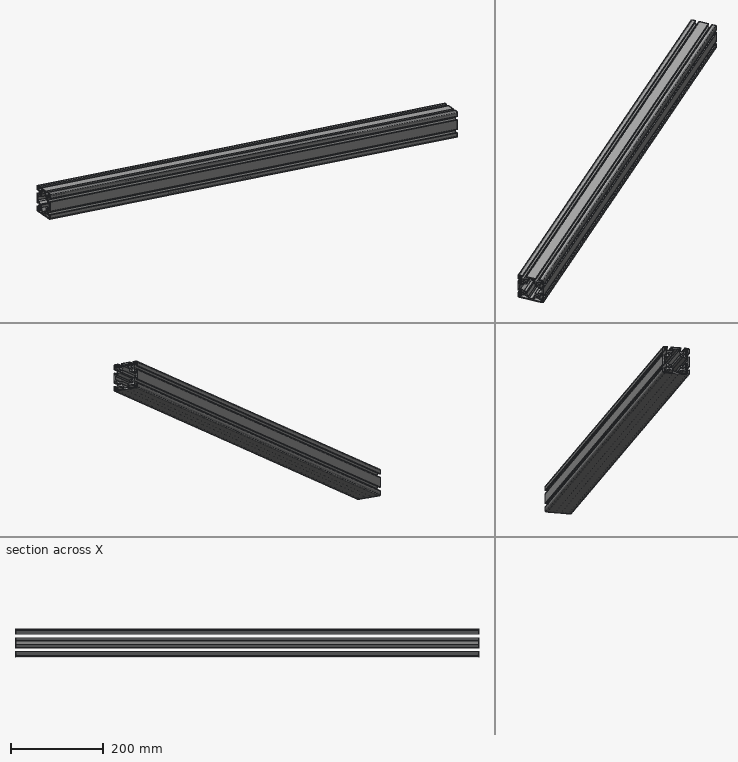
import cadquery as cq

length = 1000.0
side = 60.0
half = side / 2
corner_radius = 4.0

core_offset = side / 4
core_half_width = 5.2
core_inner = core_offset - core_half_width
bore_diameter = 5.0

mouth_width = 8.2
lip_thickness = 3.2
cover_thickness = 2.0
slot_width = 17.0
slot_depth = 9.2
flank_height = 3.0
floor_width = 4.0

panel_thickness = 4.0
tip_width = 7.0
shoulder_rise = 0.7

hollow_width = 3.0
hollow_inset = 4.5


def prism(outline):
    """Full-length prism from a closed XZ outline."""
    return cq.Workplane("XZ").polyline(outline).close().extrude(length / 2, both=True)


def mirrored_in_x(points):
    """The points mirrored in X, in reverse order so that the outline carries on."""
    return [(-x, z) for x, z in reversed(points)]


def mirrored_in_z(points):
    """The points mirrored in Z, in reverse order so that the outline carries on."""
    return [(x, -z) for x, z in reversed(points)]


def at_four_corners(offset):
    """Section plane with its points at (+-offset, +-offset)."""
    return cq.Workplane("XZ").rect(2 * offset, 2 * offset, forConstruction=True).vertices()


def slot_pair(upper_edge):
    """Both slots of the top side; `upper_edge` is the right edge of one slot above its flank."""
    right_edge = upper_edge + [
        (slot_width / 2, half - slot_depth + flank_height),
        (floor_width / 2, half - slot_depth),
    ]
    slot = prism(right_edge + mirrored_in_x(right_edge))
    return slot.translate((-core_offset, 0, 0)).union(slot.translate((core_offset, 0, 0)))


result = cq.Workplane("XY").box(side, length, side).edges("|Y").fillet(corner_radius)

open_edge = [
    (mouth_width / 2, half),
    (mouth_width / 2, half - lip_thickness),
    (slot_width / 2, half - lip_thickness),
]
covered_edge = [(slot_width / 2, half - cover_thickness)]
for angle, upper_edge in ((0, open_edge), (90, open_edge), (180, covered_edge), (270, open_edge)):
    result = result.cut(slot_pair(upper_edge).rotate((0, 0, 0), (0, 1, 0), angle))

tip_reach = half - panel_thickness
shoulder = core_offset + shoulder_rise
cavity_quarter = [
    (tip_reach, tip_width / 2),
    (shoulder, core_inner),
    (core_inner, core_inner),
    (core_inner, shoulder),
    (tip_width / 2, tip_reach),
]
cavity_upper_half = cavity_quarter + mirrored_in_x(cavity_quarter)
result = result.cut(prism(cavity_upper_half + mirrored_in_z(cavity_upper_half)))

bores = at_four_corners(core_offset).circle(bore_diameter / 2).extrude(length / 2, both=True)
hollows = (
    at_four_corners(half - hollow_inset)
    .rect(hollow_width, hollow_width)
    .extrude(length / 2, both=True)
)
result = result.cut(bores).cut(hollows)